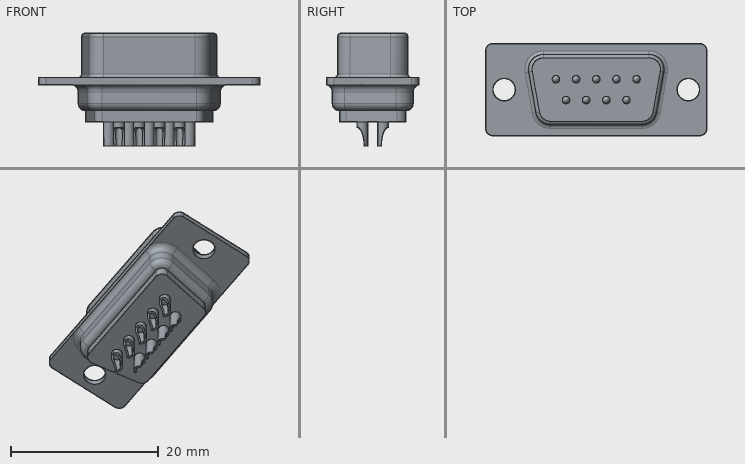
import cadquery as cq
import math

flange_length = 30.0
flange_width = 12.5
flange_thickness = 1.0
flange_corner_radius = 1.0
shroud_height = 6.0
rear_shell_depth = 4.5
insulator_depth = 6.03
cup_depth = 9.3

side_slant = math.radians(10)
shell_corner_radius = 2.0
shroud_corner_x = 7.17
shroud_corner_y = 2.75
rear_corner_x = 7.62
rear_corner_y = 3.48

shroud_wall = 0.48
rear_round = 1.0
insulator_corner_radius = shell_corner_radius - rear_round
rear_flare = 0.95
hole_diameter = 3.0
hole_spacing = 24.95

pin_pitch = 2.73
row_spacing = 2.82
long_row_count = 5
short_row_count = 4
pin_radius = 0.5
pin_top = 4.98
cup_radius = 0.75
cup_bore_radius = 0.48
scoop_reach = 1.0
scoop_height = 2.55

selection_margin = 0.03
trim_allowance = 4 * rear_flare


def d_prism(corner_x, corner_y, corner_radius, z_low, z_high):
    """Rounded D-shaped prism, given the corner centres on its wide +Y side."""
    narrow_x = corner_x - 2 * corner_y * math.tan(side_slant)
    return (
        cq.Workplane("XY", origin=(0, 0, z_low))
        .polyline([
            (-corner_x, corner_y),
            (-narrow_x, -corner_y),
            (narrow_x, -corner_y),
            (corner_x, corner_y),
        ])
        .close()
        .offset2D(corner_radius)
        .extrude(z_high - z_low)
    )


def flange_plate(length, width):
    return (
        cq.Workplane("XY", origin=(0, 0, -flange_thickness))
        .rect(length, width)
        .extrude(flange_thickness)
    )


def flange_junction(z):
    """Selects the edges where a shell wall meets the flange face at height z."""
    reach_x = flange_length / 2
    reach_y = flange_width / 2
    return cq.selectors.BoxSelector(
        (-reach_x, -reach_y, z - selection_margin), (reach_x, reach_y, z + selection_margin)
    )


def make_shell():
    """Flange with the hollow shroud above it and the rounded rear shell below."""
    shroud = d_prism(shroud_corner_x, shroud_corner_y, shell_corner_radius, 0, shroud_height)
    shroud = shroud.faces(">Z").edges().fillet(shroud_wall)
    rear = d_prism(
        rear_corner_x, rear_corner_y, shell_corner_radius, -rear_shell_depth, -flange_thickness
    )
    rear = rear.faces("<Z").edges().fillet(rear_round)

    plate = flange_plate(flange_length + trim_allowance, flange_width + trim_allowance)
    body = plate.union(shroud).union(rear)
    body = body.edges(flange_junction(0)).fillet(shroud_wall)
    body = body.edges(flange_junction(-flange_thickness)).fillet(rear_flare)
    outline = (
        cq.Workplane("XY", origin=(0, 0, -rear_shell_depth))
        .rect(flange_length, flange_width)
        .extrude(rear_shell_depth + shroud_height)
        .edges("|Z")
        .fillet(flange_corner_radius)
    )
    body = body.intersect(outline)

    cavity = d_prism(
        shroud_corner_x, shroud_corner_y, shell_corner_radius - shroud_wall, 0, shroud_height
    )
    holes = (
        cq.Workplane("XY", origin=(0, 0, -flange_thickness))
        .pushPoints([(-hole_spacing / 2, 0), (hole_spacing / 2, 0)])
        .circle(hole_diameter / 2)
        .extrude(flange_thickness)
    )
    return body.cut(cavity).cut(holes)


def make_pin():
    """Round-tipped pin standing in the shroud, on the Z axis."""
    dome_base = pin_top - pin_radius
    shaft = cq.Workplane("XY").circle(pin_radius).extrude(dome_base)
    return shaft.union(cq.Workplane("XY", origin=(0, 0, dome_base)).sphere(pin_radius))


def make_cup():
    """Solder cup on the Z axis, scooped open on its +Y side."""
    cup = (
        cq.Workplane("XY", origin=(0, 0, -cup_depth))
        .circle(cup_radius)
        .extrude(cup_depth - insulator_depth)
    )
    bore = (
        cq.Workplane("XY", origin=(0, 0, -cup_depth))
        .circle(cup_bore_radius)
        .extrude(scoop_height)
    )
    scoop = (
        cq.Workplane("YZ", origin=(0, cup_radius, -cup_depth))
        .ellipse(scoop_reach, scoop_height)
        .extrude(2 * cup_radius, both=True)
    )
    return cup.cut(bore).cut(scoop)


def add_contact_row(body, count, y, turn):
    """Adds one row of contacts whose cups are turned about Z by the given angle."""
    pin = make_pin()
    cup = make_cup().rotate((0, 0, 0), (0, 0, 1), turn)
    for index in range(count):
        place = ((index - (count - 1) / 2) * pin_pitch, y, 0)
        body = body.union(pin.translate(place)).union(cup.translate(place))
    return body


insulator = d_prism(
    rear_corner_x, rear_corner_y, insulator_corner_radius, -insulator_depth, -rear_shell_depth
)
result = make_shell().union(insulator)
result = add_contact_row(result, long_row_count, row_spacing / 2, 0)
result = add_contact_row(result, short_row_count, -row_spacing / 2, 180)